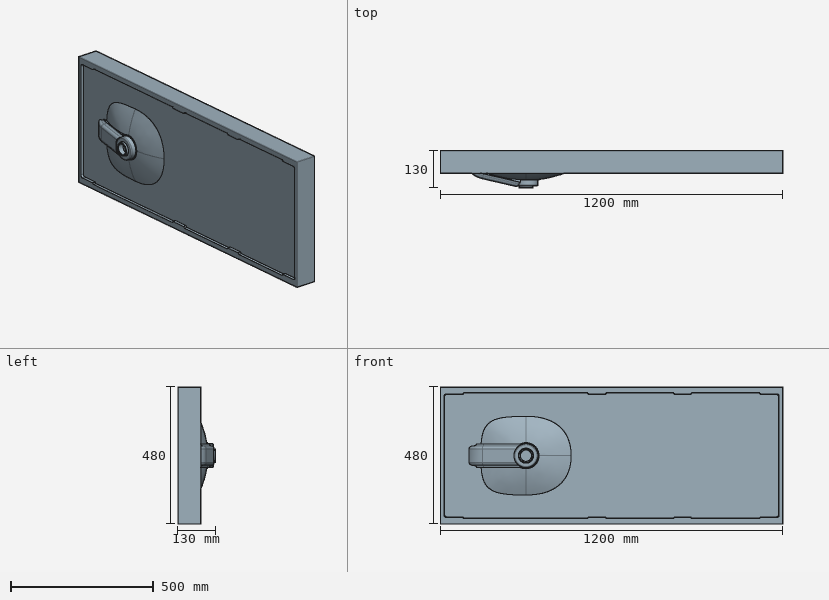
import cadquery as cq
import math


LENGTH = 1200.0
WIDTH = 480.0
THICKNESS = 80.0
EDGE_ROUND = 1.0

RECESS_DEPTH = 10.0
RECESS_DRAFT = 10.0
RECESS_HALF_LENGTH = 587.0
RECESS_HALF_WIDTH = 221.0
RECESS_CORNER = 8.0
TAB_STEP = 5.0
TAB_RANGES = [(-85.0, -18.0), (216.0, 281.0)]
END_TAB_X = 517.0

DRAIN_X = -300.0
BOWL_HALF_LENGTH = 158.0
BOWL_HALF_WIDTH = 138.0
BOWL_HEIGHT = 34.0
BOWL_SCALES = [1.0, 0.75, 0.5, 0.25]
LEFT_FULLNESS = 0.86
RIGHT_FULLNESS = 0.64

CROWN_HALF_WIDTH = 23.4
SHOULDER_RADIUS = 11.0
FLARE_RADIUS = 7.0
SECTION_HEIGHT = 43.0
RAMP_SLOPE = 13.0
RAMP_START_X = -452.0
RAMP_START_DEPTH = 18.6
RAMP_STOP_X = -324.0
END_SLOPE = 55.0
END_RADIUS = 89.0

BOSS_RADIUS = 45.0
BOSS_DEPTH = 23.0
COLLAR_RADIUS = 42.0
COLLAR_BORE_RADIUS = 26.0
COLLAR_DEPTH = 43.0
COLLAR_ROUND = 4.0
PIPE_RADIUS = 24.0
PIPE_BORE_RADIUS = 19.8
PIPE_ROOT_DEPTH = 0.0
PIPE_DEPTH = 50.0
PLUG_DEPTH = 30.0


def drain_cylinder(radius, start_depth, end_depth):
    """A cylinder on the drain axis between two depths."""
    plane = cq.Plane(origin=(DRAIN_X, -start_depth, 0), xDir=(1, 0, 0), normal=(0, -1, 0))
    return cq.Workplane(plane).circle(radius).extrude(end_depth - start_depth)


def make_slab():
    slab = cq.Workplane("XY").box(LENGTH, THICKNESS, WIDTH)
    return slab.translate((0, THICKNESS / 2, 0)).edges().fillet(EDGE_ROUND)


def recess_side():
    """Points of the +Z side of the recess from -X to +X, stepping in at each tab."""
    wide_z = RECESS_HALF_WIDTH
    tab_z = RECESS_HALF_WIDTH - TAB_STEP
    points = [(-RECESS_HALF_LENGTH, tab_z), (-END_TAB_X - TAB_STEP, tab_z), (-END_TAB_X, wide_z)]
    for start, end in TAB_RANGES:
        points += [(start, wide_z), (start + TAB_STEP, tab_z), (end - TAB_STEP, tab_z), (end, wide_z)]
    points += [(END_TAB_X, wide_z), (END_TAB_X + TAB_STEP, tab_z), (RECESS_HALF_LENGTH, tab_z)]
    return points


def make_recess():
    upper = recess_side()
    lower = [(x, -z) for x, z in reversed(upper)]
    outline = cq.Workplane("XZ").polyline(upper + lower).close()
    recess = outline.extrude(-RECESS_DEPTH, taper=RECESS_DRAFT)
    return recess.faces("<X or >X").edges("not |Z").fillet(RECESS_CORNER)


def bowl_quarter(half_length, half_width, y, fullness):
    """A quarter of the bowl outline; signed half sizes choose the quarter."""
    return cq.Edge.makeBezier(
        [
            cq.Vector(DRAIN_X + half_length, y, 0),
            cq.Vector(DRAIN_X + half_length, y, half_width * fullness),
            cq.Vector(DRAIN_X + half_length * fullness, y, half_width),
            cq.Vector(DRAIN_X, y, half_width),
        ]
    )


def bowl_outline(scale):
    """The bowl outline shrunk towards the drain axis, at its place on a parabolic dome."""
    a = scale * BOWL_HALF_LENGTH
    b = scale * BOWL_HALF_WIDTH
    y = RECESS_DEPTH - BOWL_HEIGHT * (1 - scale**2)
    return cq.Wire.assembleEdges(
        [
            bowl_quarter(a, b, y, RIGHT_FULLNESS),
            bowl_quarter(-a, b, y, LEFT_FULLNESS),
            bowl_quarter(-a, -b, y, LEFT_FULLNESS),
            bowl_quarter(a, -b, y, RIGHT_FULLNESS),
        ]
    )


def make_bowl():
    return cq.Workplane(cq.Solid.makeLoft([bowl_outline(scale) for scale in BOWL_SCALES]))


def channel_section():
    """Channel cross-section at the start of the ramp: flat crown, round shoulders, flared feet."""
    slope = math.radians(RAMP_SLOPE)
    plane = cq.Plane(
        origin=(RAMP_START_X, -RAMP_START_DEPTH, 0),
        xDir=(0, 0, 1),
        normal=(math.cos(slope), -math.sin(slope), 0),
    )
    shoulder = CROWN_HALF_WIDTH + SHOULDER_RADIUS
    foot = shoulder + FLARE_RADIUS
    foot_y = -SHOULDER_RADIUS - FLARE_RADIUS
    diagonal = math.sqrt(0.5)
    round_x = CROWN_HALF_WIDTH + diagonal * SHOULDER_RADIUS
    round_y = -SHOULDER_RADIUS * (1 - diagonal)
    flare_x = foot - diagonal * FLARE_RADIUS
    flare_y = foot_y + FLARE_RADIUS * (1 - diagonal)
    return (
        cq.Workplane(plane)
        .moveTo(-CROWN_HALF_WIDTH, 0)
        .lineTo(CROWN_HALF_WIDTH, 0)
        .threePointArc((round_x, round_y), (shoulder, -SHOULDER_RADIUS))
        .threePointArc((flare_x, flare_y), (foot, foot_y))
        .lineTo(foot, -SECTION_HEIGHT)
        .lineTo(-foot, -SECTION_HEIGHT)
        .lineTo(-foot, foot_y)
        .threePointArc((-flare_x, flare_y), (-shoulder, -SHOULDER_RADIUS))
        .threePointArc((-round_x, round_y), (-CROWN_HALF_WIDTH, 0))
        .close()
    )


def make_channel_ramp():
    """Straight channel that deepens towards the drain."""
    run = RAMP_STOP_X - RAMP_START_X
    return channel_section().extrude(run / math.cos(math.radians(RAMP_SLOPE)))


def make_channel_end():
    """Curved end that carries on from the ramp and dives into the recess floor."""
    turn = END_SLOPE - RAMP_SLOPE
    return channel_section().revolve(turn, (12, -END_RADIUS, 0), (0, -END_RADIUS, 0))


def make_basin():
    """Slab, bowl, overflow channel and drain boss, with seats for the collar and pipe."""
    basin = make_slab().cut(make_recess()).union(make_bowl())
    basin = basin.union(make_channel_ramp()).union(make_channel_end())
    basin = basin.union(drain_cylinder(BOSS_RADIUS, 0, BOSS_DEPTH))
    basin = basin.cut(drain_cylinder(COLLAR_RADIUS, BOSS_DEPTH, PIPE_DEPTH))
    return basin.cut(drain_cylinder(PIPE_RADIUS, PIPE_ROOT_DEPTH, BOSS_DEPTH))


def make_collar():
    """Ring on the drain boss, with a small gap around the pipe."""
    collar = drain_cylinder(COLLAR_RADIUS, BOSS_DEPTH, COLLAR_DEPTH).edges("<Y").fillet(COLLAR_ROUND)
    return collar.cut(drain_cylinder(COLLAR_BORE_RADIUS, BOSS_DEPTH, COLLAR_DEPTH))


def make_pipe():
    """Drain tail pipe, seated in the boss."""
    pipe = drain_cylinder(PIPE_RADIUS, PIPE_ROOT_DEPTH, PIPE_DEPTH)
    return pipe.cut(drain_cylinder(PIPE_BORE_RADIUS, PIPE_ROOT_DEPTH, PIPE_DEPTH))


def make_plug():
    """Plug that closes the inner part of the pipe."""
    return drain_cylinder(PIPE_BORE_RADIUS, PIPE_ROOT_DEPTH, PLUG_DEPTH)


basin = make_basin()
collar = make_collar()
pipe = make_pipe()
plug = make_plug()

result = cq.Compound.makeCompound([basin.val(), collar.val(), pipe.val(), plug.val()])